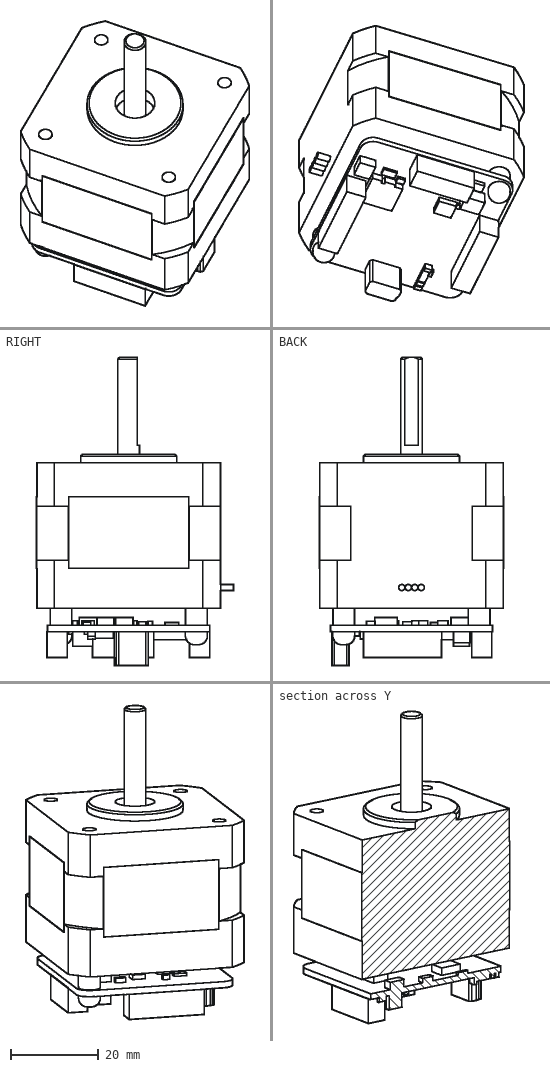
import cadquery as cq


motor_width = 42.0
motor_height = 33.35
corner_radius = 27.0
core_corner_radius = 25.2
core_bottom = 11.1
core_top = 23.4
label_width = 27.4
label_bottom = 9.2
label_top = 25.5
label_thickness = 0.105

boss_diameter = 22.0
boss_height = 2.0
boss_chamfer = 0.5
bore_diameter = 9.0
bore_depth = 3.5
hole_spacing = 30.95
hole_diameter = 3.0
hole_depth = 4.5

shaft_diameter = 5.0
shaft_top = 57.45
shaft_chamfer = 0.4
flat_depth = 0.5
flat_bottom = 37.4

wire_count = 4
wire_diameter = 1.4
wire_pitch = 1.5
wire_height = 4.8
wire_end = 24.005

board_size = 37.15
board_thickness = 1.5
post_length = 3.8
post_diameter = 5.0
head_height = 2.95
head_rounding = 1.9
board_top = -post_length
board_bottom = board_top - board_thickness
board_corner_radius = (board_size - hole_spacing) / 2

plug_length = 7.75
plug_width = 3.95
plug_bottom = -13.05
plug_chamfer = 0.55
plug_x = 16.2
plug_y = 0.6
ramp_start = -0.15
ramp_end = 0.85
ramp_depth = 0.35

header_height = 5.9
header_width = 4.65
long_header = 17.9
lower_parts = {
    "front header": (2.05, -16.35, long_header, header_width, header_height),
    "rear header": (2.05, 16.2, long_header, header_width, header_height),
    "left header": (-16.1, -1.3, header_width, 14.0, header_height),
    "capacitor": (-11.4, -10.5, 3.75, 4.65, 3.4),
    "regulator": (-11.5, 15.9, 3.8, 3.8, 2.55),
    "controller": (-5.65, 9.5, 6.9, 7.6, 1.9),
    "rear capacitor": (-8.45, 12.1, 2.4, 2.4, 1.9),
    "middle capacitor": (-8.45, 8.9, 2.4, 2.55, 1.9),
    "inner resistor": (-10.15, 6.6, 1.4, 1.8, 0.7),
    "coil": (-6.7, -5.65, 3.7, 4.2, 1.5),
    "coil resistor": (-7.9, -8.3, 1.1, 1.1, 0.7),
    "front resistor": (-10.4, -13.25, 1.55, 0.85, 0.55),
    "left chip": (-15.1, -10.15, 2.1, 3.0, 1.05),
    "crystal": (-11.3, 9.9, 1.7, 3.25, 0.6),
    "corner chip": (13.7, -8.45, 3.7, 1.7, 1.05),
    "corner resistor": (12.8, -9.7, 1.8, 0.85, 0.55),
    "first resistor": (16.2, -8.45, 1.0, 1.7, 1.05),
    "second resistor": (17.55, -8.45, 1.0, 1.7, 1.05),
    "tall resistor": (11.35, -8.45, 0.85, 1.7, 1.7),
}
tall_chip_height = 1.75
upper_parts = {
    "first driver": (-11.0, -1.0, 4.0, 4.0, tall_chip_height),
    "second driver": (-11.0, -9.3, 4.0, 4.0, tall_chip_height),
    "third driver": (5.85, -5.3, 5.2, 3.9, tall_chip_height),
    "front capacitor": (-7.2, -12.3, 2.4, 1.2, 1.05),
    "front resistor": (3.7, -12.3, 1.55, 1.2, 1.05),
    "sensor": (-2.25, -9.3, 3.0, 2.8, 1.05),
    "rear resistor": (-0.85, 1.5, 1.55, 0.85, 1.05),
    "middle chip": (1.0, 3.1, 2.1, 1.75, 0.8),
    "low chip": (7.75, -9.5, 2.9, 1.75, 0.6),
    "right chip": (9.3, 4.9, 2.0, 1.05, 0.9),
    "rear chip": (-5.15, 9.9, 1.7, 3.25, 0.6),
}


def square_with_turned_corners(radius, bottom, top):
    """Square block whose four corners are turned to a radius about the Z axis."""
    height = top - bottom
    square = cq.Workplane("XY", origin=(0, 0, bottom)).rect(motor_width, motor_width).extrude(height)
    turned = cq.Workplane("XY", origin=(0, 0, bottom)).circle(radius).extrude(height)
    return square.intersect(turned)


def cylinder(diameter, bottom, top, x=0, y=0):
    return cq.Workplane("XY", origin=(x, y, bottom)).circle(diameter / 2).extrude(top - bottom)


def block(x, y, length, width, bottom, top):
    return cq.Workplane("XY", origin=(x, y, bottom)).rect(length, width).extrude(top - bottom)


def make_housing():
    housing = square_with_turned_corners(corner_radius, 0, core_bottom)
    housing = housing.union(square_with_turned_corners(core_corner_radius, core_bottom, core_top))
    housing = housing.union(square_with_turned_corners(corner_radius, core_top, motor_height))

    label_span = motor_width + 2 * label_thickness
    housing = housing.union(block(0, 0, label_span, label_width, label_bottom, label_top))
    front_label_length = motor_width / 2 + label_thickness
    front_label_y = -front_label_length / 2
    housing = housing.union(
        block(0, front_label_y, label_width, front_label_length, label_bottom, label_top)
    )

    boss_top = motor_height + boss_height
    boss = cylinder(boss_diameter, motor_height, boss_top).faces(">Z").chamfer(boss_chamfer)
    bore = cylinder(bore_diameter, boss_top - bore_depth, boss_top)
    mounting_holes = (
        cq.Workplane("XY", origin=(0, 0, motor_height))
        .rect(hole_spacing, hole_spacing, forConstruction=True)
        .vertices()
        .circle(hole_diameter / 2)
        .extrude(-hole_depth)
    )
    return housing.union(boss).cut(bore).cut(mounting_holes)


def make_shaft():
    """Shaft with a chamfered end and a flat on its +Y side."""
    shaft_bottom = motor_height + boss_height - bore_depth
    shaft = cylinder(shaft_diameter, shaft_bottom, shaft_top).faces(">Z").chamfer(shaft_chamfer)
    flat_y = shaft_diameter / 2 - flat_depth
    flat_cut = block(0, flat_y + shaft_diameter / 2, shaft_diameter, shaft_diameter, flat_bottom, shaft_top)
    return shaft.cut(flat_cut)


def make_motor():
    motor = make_housing().union(make_shaft())
    wire_length = wire_end - motor_width / 2
    for index in range(wire_count):
        wire_x = (index - (wire_count - 1) / 2) * wire_pitch
        wire = (
            cq.Workplane("XZ", origin=(wire_x, motor_width / 2, wire_height))
            .circle(wire_diameter / 2)
            .extrude(-wire_length)
        )
        motor = motor.union(wire)
    return motor


def make_plug():
    """Upright plug with chamfered corners; a ramp sets back the +X part of its -Y end."""
    half_width = plug_width / 2
    half_length = plug_length / 2
    set_back_y = -half_length + ramp_depth
    outline = [
        (-half_width + plug_chamfer, -half_length),
        (ramp_start, -half_length),
        (ramp_end, set_back_y),
        (half_width - plug_chamfer, set_back_y),
        (half_width, set_back_y + plug_chamfer),
        (half_width, half_length - plug_chamfer),
        (half_width - plug_chamfer, half_length),
        (-half_width + plug_chamfer, half_length),
        (-half_width, half_length - plug_chamfer),
        (-half_width, -half_length + plug_chamfer),
    ]
    plug = cq.Workplane("XY", origin=(plug_x, plug_y, plug_bottom)).polyline(outline).close()
    return plug.extrude(board_bottom - plug_bottom)


def make_driver_board():
    board = (
        block(0, 0, board_size, board_size, board_bottom, board_top)
        .edges("|Z")
        .fillet(board_corner_radius)
    )

    for side in (-1, 1):
        post_xy = side * hole_spacing / 2
        board = board.union(cylinder(post_diameter, board_top, 0, post_xy, post_xy))
        head_bottom = board_bottom - head_height
        head = cylinder(post_diameter, head_bottom, board_bottom, post_xy, post_xy)
        board = board.union(head.faces("<Z").edges().fillet(head_rounding))

    for x, y, length, width, height in lower_parts.values():
        board = board.union(block(x, y, length, width, board_bottom - height, board_bottom))
    for x, y, length, width, height in upper_parts.values():
        board = board.union(block(x, y, length, width, board_top, board_top + height))
    return board.union(make_plug())


motor = make_motor()
driver_board = make_driver_board()

result = cq.Compound.makeCompound([motor.val(), driver_board.val()])